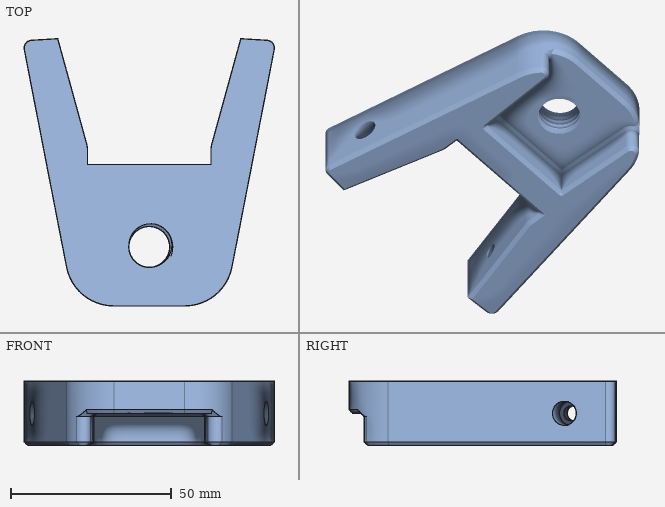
import cadquery as cq
import math

height = 20.0
length = 83.15
front_half_width = 11.0
corner_radius = 15.05
side_angle = math.radians(11.0)
bottom_chamfer = 1.2

tip_inner_x = 28.4
tip_drop_angle = math.radians(3.5)
tip_radius = 2.5
slot_half_width = 19.1
slot_floor_y = 44.1
bend_y = 49.3
bend_radius = 8.3

ledge_z = 10.0
pocket_wall_top_z = 9.0
pocket_rear_half_width = 17.2
pocket_rear_y = 33.3
leg_radius = 2.5
leg_tangent_x = 22.7
leg_overshoot = 0.01

hole_y = 18.4
thread_minor_radius = 6.3
thread_major_radius = 7.3
thread_pitch = 2.0
thread_start_angle = 40.0
thread_mouth_width = 1.8
thread_root_width = 0.25
thread_overlap = 0.4
thread_run_out = 2 * thread_pitch

cross_hole_y = 66.9
cross_hole_z = height / 2
cross_hole_diameter = 4.65
counterbore_diameter = 7.5
web_thickness = 4.1

clearance = 8.3

side_start_x = front_half_width + corner_radius * math.cos(side_angle)
side_start_y = corner_radius * (1 - math.sin(side_angle))
arm_inner_angle = math.atan2(tip_inner_x - slot_half_width, length - bend_y)


def side_x(y):
    """Half width of the body on its straight outer side."""
    return side_start_x + (y - side_start_y) * math.tan(side_angle)


def make_body():
    side_slope = math.tan(side_angle)
    tip_slope = math.tan(tip_drop_angle)
    tip_outer_x = (side_x(length) + side_slope * tip_slope * tip_inner_x) / (1 + side_slope * tip_slope)
    tip_outer_y = length - (tip_outer_x - tip_inner_x) * tip_slope
    arc_mid_angle = (math.pi / 2 - side_angle) / 2
    arc_mid_x = front_half_width + corner_radius * math.sin(arc_mid_angle)
    arc_mid_y = corner_radius * (1 - math.cos(arc_mid_angle))
    body = (
        cq.Workplane("XY")
        .moveTo(-front_half_width, 0)
        .lineTo(front_half_width, 0)
        .threePointArc((arc_mid_x, arc_mid_y), (side_start_x, side_start_y))
        .lineTo(tip_outer_x, tip_outer_y)
        .lineTo(tip_inner_x, length)
        .lineTo(slot_half_width, bend_y)
        .lineTo(slot_half_width, slot_floor_y)
        .lineTo(-slot_half_width, slot_floor_y)
        .lineTo(-slot_half_width, bend_y)
        .lineTo(-tip_inner_x, length)
        .lineTo(-tip_outer_x, tip_outer_y)
        .lineTo(-side_start_x, side_start_y)
        .threePointArc((-arc_mid_x, arc_mid_y), (-front_half_width, 0))
        .close()
        .extrude(height)
    )
    for side in (-1, 1):
        tip_corner = cq.selectors.NearestToPointSelector((side * tip_outer_x, tip_outer_y, height / 2))
        body = body.edges(tip_corner).fillet(tip_radius)
        bend = cq.selectors.NearestToPointSelector((side * slot_half_width, bend_y, height / 2))
        body = body.edges(bend).fillet(bend_radius)
    return body


def pocket_outline(z):
    """Plan of the pocket, open past the front and rounded over both legs."""
    reach = corner_radius + leg_overshoot
    normal_x = (leg_tangent_x - front_half_width) / reach
    normal_y = math.sqrt(1 - normal_x**2)
    tangent_y = corner_radius - reach * normal_y
    center_x = leg_tangent_x - leg_radius * normal_x
    center_y = tangent_y + leg_radius * normal_y
    inner_x = center_x - leg_radius
    mid_angle = (math.pi + math.atan2(normal_y, normal_x)) / 2
    mid_x = center_x + leg_radius * math.cos(mid_angle)
    mid_y = center_y - leg_radius * math.sin(mid_angle)
    outside_x = leg_tangent_x + clearance * normal_y
    outside_y = tangent_y + clearance * normal_x
    return (
        cq.Workplane("XY", origin=(0, 0, z))
        .moveTo(-outside_x, -clearance)
        .lineTo(outside_x, -clearance)
        .lineTo(outside_x, outside_y)
        .lineTo(leg_tangent_x, tangent_y)
        .threePointArc((mid_x, mid_y), (inner_x, center_y))
        .lineTo(pocket_rear_half_width, pocket_rear_y)
        .lineTo(-pocket_rear_half_width, pocket_rear_y)
        .lineTo(-inner_x, center_y)
        .threePointArc((-mid_x, mid_y), (-leg_tangent_x, tangent_y))
        .lineTo(-outside_x, outside_y)
        .close()
    )


def make_pocket(body):
    """Pocket with a 45 degree sloping top, bevelled ledge edge and flared bottom edge."""
    ledge_bevel_top = ledge_z + bottom_chamfer
    straight = pocket_outline(0).extrude(pocket_wall_top_z)
    sloped = pocket_outline(pocket_wall_top_z).extrude(ledge_bevel_top - pocket_wall_top_z, taper=45)
    block_size = 3 * length
    upper_half = cq.Workplane("XY", origin=(0, 0, ledge_z)).rect(block_size, block_size).extrude(height)
    ledge = (
        body.intersect(upper_half)
        .faces("<Z").chamfer(bottom_chamfer)
    )
    flare = pocket_outline(bottom_chamfer).extrude(-bottom_chamfer, taper=-45)
    return straight.union(sloped).cut(ledge).union(flare)


def make_thread():
    """Bore and the helical V groove around it, as two cutting tools."""
    bore = cq.Workplane("XY").center(0, hole_y).circle(thread_minor_radius).extrude(height)
    start_z = ledge_z - thread_run_out
    helix_height = height - start_z + thread_run_out
    helix = cq.Wire.makeHelix(thread_pitch, helix_height, thread_minor_radius)
    groove = (
        cq.Workplane("XZ")
        .moveTo(thread_minor_radius - thread_overlap, -thread_mouth_width / 2)
        .lineTo(thread_major_radius, -thread_root_width / 2)
        .lineTo(thread_major_radius, thread_root_width / 2)
        .lineTo(thread_minor_radius - thread_overlap, thread_mouth_width / 2)
        .close()
        .sweep(cq.Workplane(obj=helix), isFrenet=True)
        .rotate((0, 0, 0), (0, 0, 1), thread_start_angle)
        .translate((0, hole_y, start_z))
    )
    return bore, groove


def make_cross_hole(side):
    """Counterbored hole square to the inner face of one arm."""
    entry_x = side_x(cross_hole_y)
    inward = cq.Vector(-side * math.cos(arm_inner_angle), math.sin(arm_inner_angle), 0)
    entry = cq.Vector(side * entry_x, cross_hole_y, cross_hole_z)
    inner_x = slot_half_width + (cross_hole_y - bend_y) * math.tan(arm_inner_angle)
    arm_thickness = (entry_x - inner_x) * math.cos(arm_inner_angle)
    start = entry - inward * clearance
    counterbore = cq.Solid.makeCylinder(
        counterbore_diameter / 2, clearance + arm_thickness - web_thickness, start, inward
    )
    hole = cq.Solid.makeCylinder(
        cross_hole_diameter / 2, arm_thickness + 2 * clearance, start, inward
    )
    return cq.Workplane(obj=counterbore.fuse(hole))


body = make_body()
pocket = make_pocket(body)
result = body.faces("<Z").chamfer(bottom_chamfer).cut(pocket)
bore, groove = make_thread()
result = result.cut(groove).cut(bore)
for arm_side in (-1, 1):
    result = result.cut(make_cross_hole(arm_side))